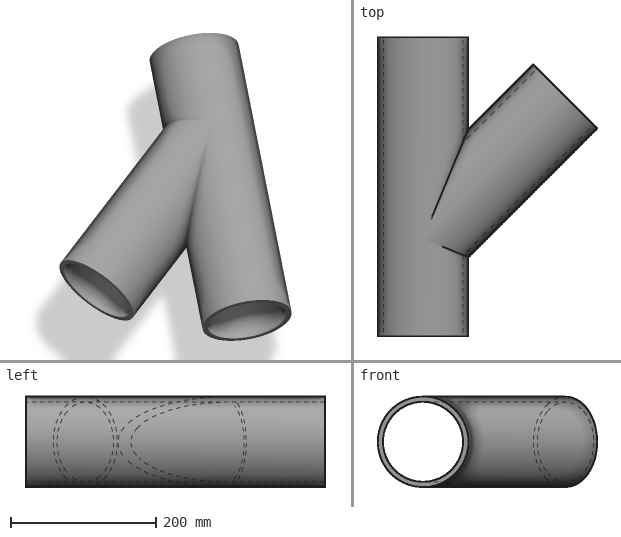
import cadquery as cq
import math

run_length = 412.0
outer_diameter = 125.0
wall = 7.5
bore_diameter = outer_diameter - 2 * wall
inlet_length = 134.7
branch_length = 277.0
branch_angle = math.radians(45)

run_start = cq.Vector(0, -inlet_length, 0)
run_direction = cq.Vector(0, 1, 0)
crossing = cq.Vector(0, 0, 0)
branch_direction = cq.Vector(math.sin(branch_angle), math.cos(branch_angle), 0)


def branched_cylinders(diameter):
    """Run and branch cylinders of one diameter, joined together."""
    radius = diameter / 2
    run = cq.Solid.makeCylinder(radius, run_length, run_start, run_direction)
    branch = cq.Solid.makeCylinder(radius, branch_length, crossing, branch_direction)
    return cq.Workplane(obj=run).union(cq.Workplane(obj=branch))


result = branched_cylinders(outer_diameter).cut(branched_cylinders(bore_diameter))